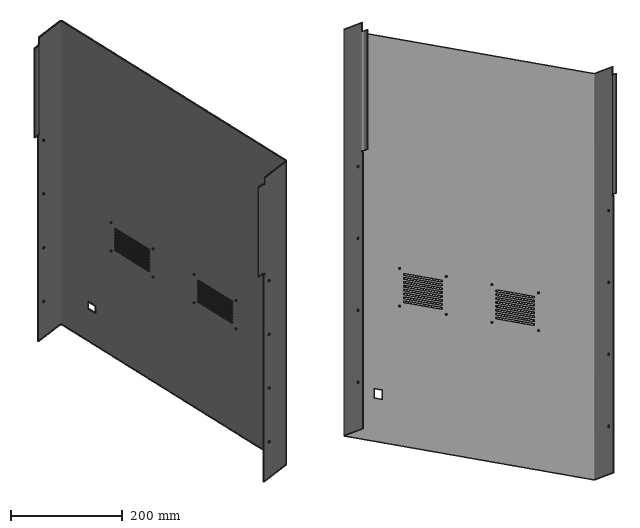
import math

import cadquery as cq

width = 544.0
depth = 73.96
height = 751.5

sheet = 2.0
bend_radius = 2.0
outer_radius = bend_radius + sheet
flange_depth = 62.0

back = depth / 2
front = -depth / 2
top = height / 2
bottom = -height / 2
side = width / 2
flange_edge = back - flange_depth

tab_top = top - 16.0
tab_length = 221.0
tab_offset = 2.2
joggle_start = back - 59.25
joggle_radius = 2.5
relief_gap = 2.5

vent_x = 99.75
vent_z = -82.75
slot_count = 8
slot_width = 3.2
slot_length = 80.0 + slot_width
slot_pitch = 7.2
vent_hole_diameter = 3.2
vent_hole_span_x = 101.0
vent_hole_span_z = 70.0

window_size = 17.5
window_x = -196.5
window_z = bottom + 88.75

flange_hole_diameter = 4.2
flange_hole_count = 4
flange_hole_pitch = 133.0
flange_hole_y = back - 47.5
first_flange_hole_z = bottom + 89.0


def make_channel():
    """Back sheet with a rounded bend and a plain flange on each side."""
    outer = (
        cq.Workplane("XY", origin=(0, 0, bottom))
        .moveTo(0, (back + flange_edge) / 2)
        .rect(width, flange_depth)
        .extrude(height)
        .edges("|Z and >Y")
        .fillet(outer_radius)
    )
    inner_depth = flange_depth - sheet
    inner = (
        cq.Workplane("XY", origin=(0, 0, bottom))
        .moveTo(0, flange_edge + inner_depth / 2)
        .rect(width - 2 * sheet, inner_depth)
        .extrude(height)
        .edges("|Z and >Y")
        .fillet(bend_radius)
    )
    return outer.cut(inner)


def make_left_relief():
    """Space cleared from the left flange edge for the tab and up to the top end."""
    relief_bottom = tab_top - tab_length - relief_gap
    return (
        cq.Workplane("XY", origin=(-side, front, relief_bottom))
        .rect(sheet, joggle_start - front, centered=False)
        .extrude(top - relief_bottom)
    )


def make_left_tab():
    """Left tab: an S-bend of two equal arcs steps it inward, then it runs straight."""
    reach = 2 * joggle_radius + sheet
    angle = math.acos(1 - tab_offset / reach)
    first_center = (-side + sheet + joggle_radius, joggle_start)
    second_center = (-side + tab_offset - joggle_radius, joggle_start - reach * math.sin(angle))

    def on_first(radius, turn):
        center_x, center_y = first_center
        return (center_x - radius * math.cos(turn), center_y - radius * math.sin(turn))

    def on_second(radius, turn):
        center_x, center_y = second_center
        return (center_x + radius * math.cos(turn), center_y + radius * math.sin(turn))

    large = joggle_radius + sheet
    small = joggle_radius
    return (
        cq.Workplane("XY", origin=(0, 0, tab_top - tab_length))
        .moveTo(*on_first(large, 0))
        .threePointArc(on_first(large, angle / 2), on_first(large, angle))
        .threePointArc(on_second(small, angle / 2), on_second(small, 0))
        .lineTo(-side + tab_offset, front)
        .lineTo(-side + tab_offset + sheet, front)
        .lineTo(*on_second(large, 0))
        .threePointArc(on_second(large, angle / 2), on_second(large, angle))
        .threePointArc(on_first(small, angle / 2), on_first(small, 0))
        .close()
        .extrude(tab_length)
    )


def on_both_sides(left_body):
    """The left-hand body together with its mirror image on the right."""
    return left_body.union(left_body.mirror("YZ"))


def back_sketch():
    """Sketch plane on the outer face of the back sheet; extruding cuts toward -Y."""
    return cq.Workplane("XZ", origin=(0, back, 0))


def make_vent(center_x):
    """Cutter for one vent: a stack of slots with a screw hole at each corner."""
    slot_centers = []
    for row in range(slot_count):
        slot_centers.append((center_x, vent_z + (row - (slot_count - 1) / 2) * slot_pitch))
    slots = back_sketch().pushPoints(slot_centers).slot2D(slot_length, slot_width).extrude(sheet)
    holes = (
        back_sketch()
        .center(center_x, vent_z)
        .rect(vent_hole_span_x, vent_hole_span_z, forConstruction=True)
        .vertices()
        .circle(vent_hole_diameter / 2)
        .extrude(sheet)
    )
    return slots.union(holes)


def make_window():
    """Cutter for the square window."""
    return back_sketch().center(window_x, window_z).rect(window_size, window_size).extrude(sheet)


def make_flange_holes():
    """Cutter for the hole rows, running across both flanges."""
    centers = []
    for index in range(flange_hole_count):
        centers.append((flange_hole_y, first_flange_hole_z + index * flange_hole_pitch))
    return (
        cq.Workplane("YZ", origin=(-side, 0, 0))
        .pushPoints(centers)
        .circle(flange_hole_diameter / 2)
        .extrude(width)
    )


panel = make_channel()
panel = panel.cut(on_both_sides(make_left_relief()))
panel = panel.union(on_both_sides(make_left_tab()))
for vent_center in (-vent_x, vent_x):
    panel = panel.cut(make_vent(vent_center))
panel = panel.cut(make_window())
panel = panel.cut(make_flange_holes())
result = panel